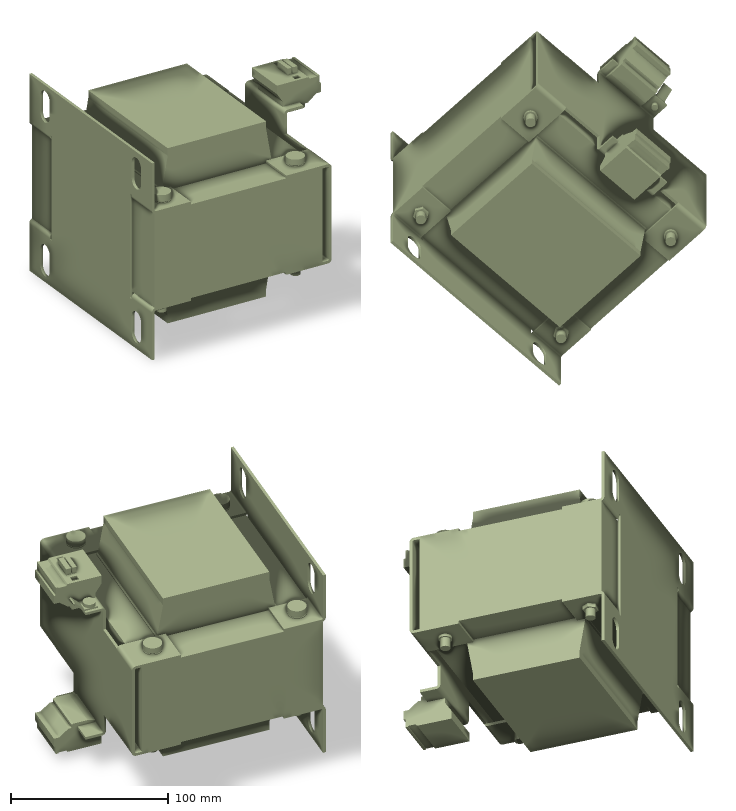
import cadquery as cq
import math

width = 150.0
overall_height = 141.0
plate_height = 140.1
sheet = 2.0
bend_radius = 3.0

core_half_height = 33.4
core_depth = 125.3
leg_width = 25.0
core_back = sheet + core_depth
core_mid_y = sheet + core_depth / 2

coil_half_width = 48.5
coil_top = 62.3
coil_shoulder = 57.0
coil_top_depth = 73.5
coil_base_depth = 81.7
flange_depth = 84.0
flange_thickness = 0.8

tab_top = core_half_height + sheet
tab_inner_x = width / 2 - leg_width
relief_width = 2.0
relief_margin = 0.8
front_tab_length = 29.0
rear_tab_length = 33.8
rear_face = 134.0
slot_x = 55.8
slot_z = 54.7
slot_length = 22.3
slot_width = 11.4

tongue_left = -28.0
tongue_right = 20.3
tongue_top = 50.1
tongue_shelf = 14.2
shelf_bottom = tongue_top - sheet

bolt_x = 62.5
front_bolt_y = 14.6
rear_bolt_y = 114.5
head_diameter = 12.4
head_chamfer = 0.5
washer_thickness = 0.7
front_head_top = 41.3
rear_head_top = 40.7
nut_size = 8.8
front_nut_height = 2.6
rear_nut_height = 1.8
shank_diameter = 6.5
shank_end = -43.6

block_width = 30.6
block_top = 66.2
marker_top = overall_height - plate_height / 2
marker_width = 12.7
marker_spans = ((143.2, 146.1), (147.0, 150.5))
socket_width = 4.2
socket_length = 4.5
socket_depth = 2.5
socket_x = 11.2
socket_y = 146.8

earth_x = -22.1
earth_y = 141.2
earth_width = 8.0
tag_thickness = 1.3
tag_front = 136.8
tag_back = 146.5
tag_lip_width = 7.0
tag_lip_thickness = 0.8
tag_lip_rise = 7.0
screw_head_diameter = 8.3
screw_head_top = 54.0
screw_diameter = 4.2
screw_end = 45.0


def block(x0, x1, y0, y1, z0, z1):
    """Box given by its limits on each axis."""
    return cq.Workplane("XY").box(x1 - x0, y1 - y0, z1 - z0, centered=False).translate((x0, y0, z0))


def prism(points, x0, x1):
    """Closed (y, z) outline extruded from x0 to x1."""
    return cq.Workplane("YZ").workplane(offset=x0).polyline(points).close().extrude(x1 - x0)


def cylinder(x, y, diameter, z0, z1):
    return cq.Workplane("XY").workplane(offset=z0).center(x, y).circle(diameter / 2).extrude(z1 - z0)


def bent_strip(corner_y, corner_z, y_dir, z_dir, y_length, z_length, x0, x1):
    """Sheet angle with a rounded bend; the corner is where its two outer faces would meet."""
    inner_radius = bend_radius - sheet
    diagonal = math.sqrt(0.5)

    def at(y, z):
        return corner_y + y_dir * y, corner_z + z_dir * z

    def arc_middle(radius):
        return at(bend_radius - radius * diagonal, bend_radius - radius * diagonal)

    outline = (
        cq.Workplane("YZ").workplane(offset=x0)
        .moveTo(*at(y_length, 0))
        .lineTo(*at(bend_radius, 0))
        .threePointArc(arc_middle(bend_radius), at(0, bend_radius))
        .lineTo(*at(0, z_length))
        .lineTo(*at(sheet, z_length))
        .lineTo(*at(sheet, bend_radius))
        .threePointArc(arc_middle(inner_radius), at(bend_radius, sheet))
        .lineTo(*at(y_length, sheet))
        .close()
    )
    return outline.extrude(x1 - x0)


def with_mirror(shape, plane):
    return shape.union(shape.mirror(plane))


def make_core():
    outer = block(-width / 2, width / 2, sheet, core_back, -core_half_height, core_half_height)
    window = block(-tab_inner_x, tab_inner_x, sheet + leg_width, core_back - leg_width,
                   -core_half_height, core_half_height)
    return outer.cut(window)


def make_coil():
    upper_half = prism(
        [
            (core_mid_y - coil_base_depth / 2, 0),
            (core_mid_y - coil_base_depth / 2, core_half_height),
            (core_mid_y - coil_top_depth / 2, coil_shoulder),
            (core_mid_y - coil_top_depth / 2, coil_top),
            (core_mid_y + coil_top_depth / 2, coil_top),
            (core_mid_y + coil_top_depth / 2, coil_shoulder),
            (core_mid_y + coil_base_depth / 2, core_half_height),
            (core_mid_y + coil_base_depth / 2, 0),
        ],
        -coil_half_width, coil_half_width,
    )
    flange = block(-coil_half_width, coil_half_width,
                   core_mid_y - flange_depth / 2, core_mid_y + flange_depth / 2,
                   core_half_height, core_half_height + flange_thickness)
    return with_mirror(upper_half.union(flange), "XY")


def make_front_plate():
    plate = block(-width / 2, width / 2, 0, sheet, -plate_height / 2, plate_height / 2)
    slots = (
        cq.Workplane("XZ")
        .rect(2 * slot_x, 2 * slot_z, forConstruction=True).vertices()
        .slot2D(slot_length, slot_width, 90)
        .extrude(-sheet)
    )
    bend_end = core_half_height + bend_radius
    relief_end = bend_end + relief_margin
    window = block(tab_inner_x, width / 2, 0, sheet, -bend_end, bend_end)
    relief = block(tab_inner_x - relief_width, tab_inner_x, 0, sheet, -relief_end, relief_end)
    plate = plate.cut(slots).cut(with_mirror(window.union(relief), "YZ"))
    tab = bent_strip(0, core_half_height, 1, 1, front_tab_length, bend_radius + relief_margin,
                     tab_inner_x, width / 2)
    return plate.union(with_mirror(with_mirror(tab, "YZ"), "XY"))


def make_rear_bracket():
    wall_inner = rear_face - sheet
    bend_start = tab_top - bend_radius
    side_wall = block(-width / 2, width / 2, wall_inner, rear_face, -bend_start, bend_start)
    middle_wall = block(-tab_inner_x, tab_inner_x, wall_inner, rear_face,
                        -core_half_height, core_half_height)
    tab = bent_strip(rear_face, tab_top, -1, -1, rear_tab_length, bend_radius + sheet,
                     tab_inner_x, width / 2)
    tongue = bent_strip(wall_inner, tongue_top, 1, -1, tongue_shelf, tongue_top - bend_start,
                        tongue_left, tongue_right)
    wall = side_wall.union(middle_wall)
    return wall.union(with_mirror(with_mirror(tab, "YZ"), "XY")).union(with_mirror(tongue, "XY"))


def make_bolts():
    hex_circumscribed = nut_size / math.cos(math.pi / 6)
    front_nut = (
        cq.Workplane("XY").workplane(offset=-tab_top)
        .center(bolt_x, front_bolt_y)
        .polygon(6, hex_circumscribed)
        .extrude(-front_nut_height)
    )
    rear_nut = cylinder(bolt_x, rear_bolt_y, nut_size, -tab_top - rear_nut_height, -tab_top)
    bolts = front_nut.union(rear_nut)
    for y, head_top in ((front_bolt_y, front_head_top), (rear_bolt_y, rear_head_top)):
        washer_top = tab_top + washer_thickness
        washer = cylinder(bolt_x, y, head_diameter, tab_top, washer_top)
        head = cylinder(bolt_x, y, head_diameter, washer_top, head_top).faces("<Z").chamfer(head_chamfer)
        bolts = bolts.union(washer).union(head)
        bolts = bolts.union(cylinder(bolt_x, y, shank_diameter, shank_end, -core_half_height))
    return with_mirror(bolts, "YZ")


def make_terminal_body():
    """Housing that grips the tongue shelf, wire entries facing the back."""
    outline = [
        (162.7, 59.5),
        (162.7, 53.2),
        (159.1, 53.2),
        (152.8, 48.2),
        (150.5, 48.2),
        (150.5, 45.5),
        (149.2, 45.0),
        (139.5, 45.0),
        (rear_face, 46.5),
        (rear_face, 53.5),
        (129.7, 60.2),
        (129.7, block_top),
        (153.3, block_top),
        (154.2, 64.9),
        (159.6, 64.9),
        (159.6, 65.5),
        (161.4, 65.5),
        (161.4, 59.5),
    ]
    return prism(outline, -block_width / 2, block_width / 2)


def make_upper_terminal():
    """Housing with two marker bars and two square test sockets on its top."""
    terminal = make_terminal_body()
    for y0, y1 in marker_spans:
        terminal = terminal.union(block(-marker_width / 2, marker_width / 2, y0, y1, block_top, marker_top))
    sockets = (
        cq.Workplane("XY").workplane(offset=block_top)
        .pushPoints([(-socket_x, socket_y), (socket_x, socket_y)])
        .rect(socket_width, socket_length)
        .extrude(-socket_depth)
    )
    return terminal.cut(sockets)


def make_earth_terminal():
    """Screw with a clamp tag whose lip rises at 45 degrees behind the shelf."""
    tag_top = tongue_top + tag_thickness
    lip_end = tongue_top + tag_lip_rise
    tag = block(earth_x - earth_width / 2, earth_x + earth_width / 2, tag_front, tag_back,
                tongue_top, tag_top)
    lip = prism(
        [
            (tag_back - tag_lip_thickness, tongue_top),
            (tag_back, tongue_top),
            (tag_back + tag_lip_rise, lip_end),
            (tag_back + tag_lip_rise - tag_lip_thickness, lip_end + tag_lip_thickness),
            (tag_back - tag_lip_thickness, tongue_top + tag_lip_thickness),
        ],
        earth_x - tag_lip_width / 2, earth_x + tag_lip_width / 2,
    )
    head = cylinder(earth_x, earth_y, screw_head_diameter, tag_top, screw_head_top)
    shank = cylinder(earth_x, earth_y, screw_diameter, screw_end, shelf_bottom)
    return tag.union(lip).union(head).union(shank)


result = (
    make_core()
    .union(make_coil())
    .union(make_front_plate())
    .union(make_rear_bracket())
    .union(make_bolts())
    .union(make_upper_terminal())
    .union(make_terminal_body().mirror("XY"))
    .union(make_earth_terminal())
)